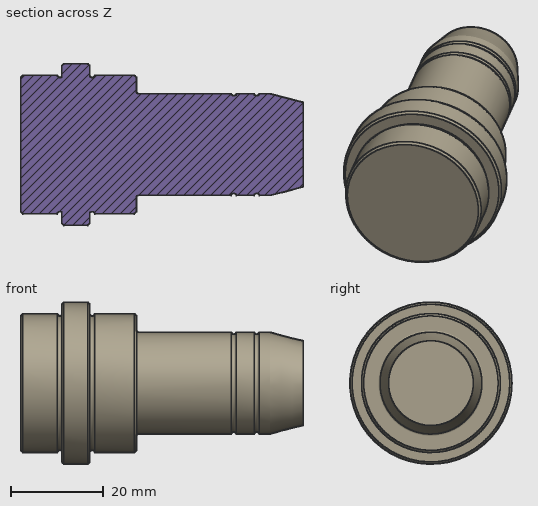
import cadquery as cq

length = 61.0
head_diameter = 30.0
flange_diameter = 35.0
stem_diameter = 22.0
tip_diameter = 18.3

head_end = 7.9
flange_start = 8.85
flange_end = 14.95
collar_start = 16.0
collar_end = 25.0
taper_start = 53.85
stem_groove_centers = (46.0, 50.95)

chamfer = 0.5
stem_fillet = 0.4
relief_width = 1.1
relief_depth = 0.5
stem_groove_width = 1.1
stem_groove_depth = 0.4

head_radius = head_diameter / 2
flange_radius = flange_diameter / 2
stem_radius = stem_diameter / 2


def cylinder(start, end, radius):
    """Solid cylinder along X between two axial positions."""
    return cq.Workplane("YZ").workplane(offset=start).circle(radius).extrude(end - start)


def groove_cutter(start, end, radius, depth):
    """Ring that cuts an arc-bottomed groove into a cylinder of the given radius."""
    middle = (start + end) / 2
    clearance = 0.6
    return (
        cq.Workplane("XY")
        .moveTo(start, radius + clearance)
        .lineTo(start, radius)
        .threePointArc((middle, radius - depth), (end, radius))
        .lineTo(end, radius + clearance)
        .close()
        .revolve(360, (0, 0, 0), (1, 0, 0))
    )


def make_body():
    """Head and collar on one core diameter, with relief grooves the flange partly covers."""
    body = cylinder(0, collar_end, head_radius).faces("<X or >X").edges().chamfer(chamfer)
    body = body.cut(groove_cutter(head_end, head_end + relief_width, head_radius, relief_depth))
    return body.cut(groove_cutter(collar_start - relief_width, collar_start, head_radius, relief_depth))


def make_flange():
    """Wide flange with both rims chamfered."""
    return cylinder(flange_start, flange_end, flange_radius).faces("<X or >X").edges().chamfer(chamfer)


def make_stem():
    """Stem with a filleted root, a tapered tip and two round grooves."""
    stem = (
        cq.Workplane("XY")
        .moveTo(flange_end, 0)
        .lineTo(flange_end, stem_radius)
        .lineTo(collar_end, stem_radius)
        .lineTo(collar_end, stem_radius + stem_fillet)
        .radiusArc((collar_end + stem_fillet, stem_radius), -stem_fillet)
        .lineTo(taper_start, stem_radius)
        .lineTo(length, tip_diameter / 2)
        .lineTo(length, 0)
        .close()
        .revolve(360, (0, 0, 0), (1, 0, 0))
    )
    for center in stem_groove_centers:
        start = center - stem_groove_width / 2
        end = center + stem_groove_width / 2
        stem = stem.cut(groove_cutter(start, end, stem_radius, stem_groove_depth))
    return stem


result = make_body().union(make_flange()).union(make_stem())